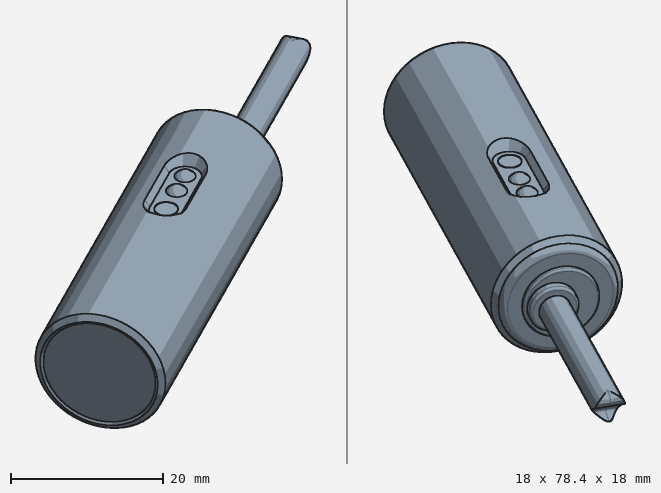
import cadquery as cq
import math

total_length = 78.35

body_diameter = 18.0
body_radius = body_diameter / 2
body_rear = 49.4
front_bevel_length = 0.6
rim_radius = 8.15

lens_radius = 7.75
lens_recess = 0.2

cap_radius = 16.4 / 2
cap_bevel_length = 0.7
cap_rear = 51.1
cap_rounding = cap_rear - body_rear - cap_bevel_length
collar_radius = 10.5 / 2
collar_rear = 51.8
collar_rounding = 0.3
gland_radius = 6.8 / 2
gland_rear = 53.05
gland_rounding = 0.4

cable_offset = 1.3

cable_radius = 4.3 / 2
break_top = (76.8, cable_radius)
break_crest = (total_length, 1.1)
break_slope = (77.4, -0.1)
break_trough = (76.2, -1.2)
break_bottom = (77.9, -cable_radius)

pocket_front = 27.9
pocket_rear = 36.05
pocket_floor_radius = 2.2
pocket_depth = 1.5
pocket_wall_angle = 35.0
pocket_floor = body_radius - pocket_depth

lamp_radius = 1.4
lamp_height = 0.8
lamp_positions = [pocket_rear, 32.5]
button_radius = 1.6
button_height = 0.1
button_position = 28.1
root_depth = 0.4


def round_step(outline, radius, rear, rounding):
    """Draw a step's side up to its rear face, rounding the corner between them."""
    inset = rounding * (1 - math.sqrt(0.5))
    return outline.lineTo(radius, rear - rounding).threePointArc(
        (radius - inset, rear - inset), (radius - rounding, rear)
    )


def make_turned_body():
    """Revolve the housing, rear cap and collar around Y."""
    outline = (
        cq.Workplane("XY")
        .moveTo(0, lens_recess)
        .lineTo(lens_radius, lens_recess)
        .lineTo(rim_radius, 0)
        .lineTo(body_radius, front_bevel_length)
        .lineTo(body_radius, body_rear)
    )
    outline = round_step(outline, cap_radius, cap_rear, cap_rounding)
    outline = outline.lineTo(collar_radius, cap_rear)
    outline = round_step(outline, collar_radius, collar_rear, collar_rounding)
    return outline.lineTo(0, collar_rear).close().revolve(360, (0, 0, 0), (0, 1, 0))


def make_gland():
    """Revolve the gland around the cable axis, rooted inside the cap."""
    outline = (
        cq.Workplane("XY", origin=(cable_offset, 0, 0))
        .moveTo(0, cap_rear)
        .lineTo(gland_radius, cap_rear)
    )
    outline = round_step(outline, gland_radius, gland_rear, gland_rounding)
    return outline.lineTo(0, gland_rear).close().revolve(360, (0, 0, 0), (0, 1, 0))


def make_cable():
    """Trim a round bar with the side outline that carries the broken end."""
    cable_start = collar_rear
    round_bar = (
        cq.Workplane("XZ", origin=(cable_offset, cable_start, 0))
        .circle(cable_radius)
        .extrude(cable_start - total_length)
    )
    down = (0, -1)
    side_outline = (
        cq.Workplane("YZ", origin=(cable_offset, 0, 0))
        .moveTo(cable_start, cable_radius)
        .lineTo(*break_top)
        .spline([break_crest], tangents=[(1, 0), down], includeCurrent=True)
        .spline(
            [break_slope, break_trough, break_bottom],
            tangents=[down, None, None, None],
            includeCurrent=True,
        )
        .lineTo(cable_start, -cable_radius)
        .close()
        .extrude(cable_radius, both=True)
    )
    return round_bar.intersect(side_outline)


def make_pocket():
    """Obround cutter that widens upward from the pocket floor."""
    spacing = pocket_rear - pocket_front
    middle = (pocket_front + pocket_rear) / 2
    return (
        cq.Workplane("XY", origin=(0, middle, pocket_floor))
        .slot2D(spacing + 2 * pocket_floor_radius, 2 * pocket_floor_radius, 90)
        .extrude(pocket_depth, taper=-pocket_wall_angle)
    )


def make_lamp(position):
    """Domed lamp: a spherical cap on a short root sunk in the floor."""
    return (
        cq.Workplane("XZ", origin=(0, position, pocket_floor))
        .moveTo(0, -root_depth)
        .lineTo(lamp_radius, -root_depth)
        .lineTo(lamp_radius, 0)
        .threePointArc(dome_middle(), (0, lamp_height))
        .close()
        .revolve(360, (0, 0, 0), (0, 1, 0))
    )


def dome_middle():
    """Point halfway along the dome's arc from its rim to its crown."""
    sphere_radius = (lamp_radius**2 + lamp_height**2) / (2 * lamp_height)
    half_angle = math.asin(lamp_radius / sphere_radius) / 2
    return (
        sphere_radius * math.sin(half_angle),
        lamp_height - sphere_radius * (1 - math.cos(half_angle)),
    )


def make_button():
    """Flat push button standing just above the floor."""
    return (
        cq.Workplane("XY", origin=(0, button_position, pocket_floor - root_depth))
        .circle(button_radius)
        .extrude(root_depth + button_height)
    )


result = make_turned_body().union(make_gland()).union(make_cable()).cut(make_pocket())
for lamp_position in lamp_positions:
    result = result.union(make_lamp(lamp_position))
result = result.union(make_button())